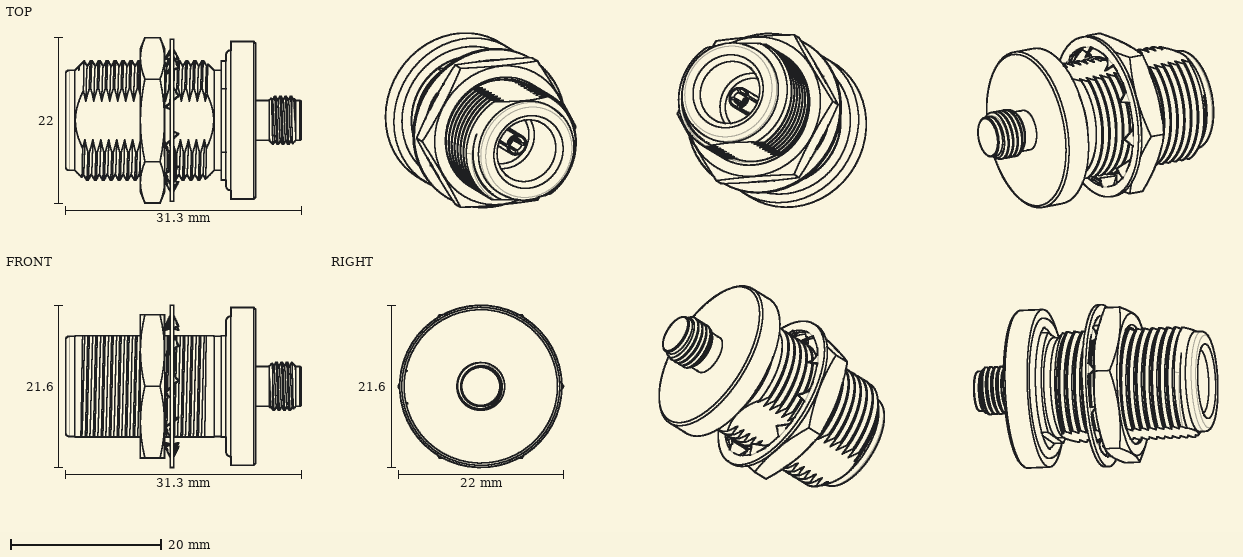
import cadquery as cq
import math


INCH = 25.4

TOTAL_LENGTH = 31.3
LARGE_THREAD_START = 1.25
LARGE_THREAD_END = 19.75
COLLAR_START = 20.67
FLANGE_FACE = 21.98
FLANGE_BACK = 25.31
SMALL_THREAD_START = 27.05
SMALL_THREAD_END = 30.6

NECK_RADIUS = 6.67
LARGE_THREAD_RADIUS = INCH * 5 / 8 / 2
COLLAR_RADIUS = LARGE_THREAD_RADIUS
FLANGE_RADIUS = 10.5
STEM_RADIUS = 2.67
SMALL_THREAD_RADIUS = INCH / 4 / 2
FRONT_FILLET = 0.5
FLANGE_CHAMFER = 0.3
STEM_CHAMFER = 0.14
FLAT_HALF_HEIGHT = 6.73

LARGE_PITCH = INCH / 24
LARGE_ROOT_RADIUS = 7.2
LARGE_GROOVE_START = 1.05
LARGE_GROOVE_TURNS = 17
SMALL_PITCH = INCH / 36
SMALL_ROOT_RADIUS = 2.7
SMALL_GROOVE_START = 26.62
SMALL_GROOVE_TURNS = 6
THREAD_HALF_ANGLE = math.radians(30)
GROOVE_OVERSHOOT = 0.08

BORE_RADIUS = 4.21
BORE_MOUTH_RADIUS = 4.96
BORE_FLOOR_RADIUS = 3.66
BORE_DEPTH = 9.0

CONTACT_TIP = 4.1
CONTACT_RADIUS = 1.39
CONTACT_HOLE_RADIUS = 0.8
CONTACT_MOUTH_RADIUS = 1.2
CONTACT_TIP_CHAMFER = 0.1
CONTACT_HOLE_DEPTH = 3.5
CONTACT_SLOT_WIDTH = 0.3

GASKET_SECTION_RADIUS = 0.66
GASKET_RING_RADIUS = 8.68

NUT_START = 9.93
NUT_THICKNESS = 3.25
NUT_ACROSS_FLATS = 19.05
NUT_FACE_RADIUS = 9.47
NUT_CHAMFER_LENGTH = 0.62
NUT_BORE_RADIUS = 7.3

WASHER_START = 13.89
WASHER_THICKNESS = 0.5
WASHER_RADIUS = 10.795
WASHER_INNER_RADIUS = 9.4
TOOTH_COUNT = 10
TOOTH_ROOT_WIDTH = 3.0
TOOTH_TIP_WIDTH = 2.4
TOOTH_TIP_THICKNESS = 0.1
TOOTH_TIP_PLANE = 8.13
TOOTH_TWIST = 48


def revolve_about_x(profile):
    """Revolve an XY-plane profile (X axial, Y radial) about the X axis."""
    return profile.close().revolve(360, (0, 0, 0), (1, 0, 0))


def cylinder_x(start, end, radius):
    return cq.Workplane("YZ", origin=(start, 0, 0)).circle(radius).extrude(end - start)


def double_cone(start, end, face_radius, middle_radius, taper_length):
    """Solid with equal cones at both ends, leading from face_radius to middle_radius."""
    return revolve_about_x(
        cq.Workplane("XY")
        .moveTo(start, 0)
        .lineTo(start, face_radius)
        .lineTo(start + taper_length, middle_radius)
        .lineTo(end - taper_length, middle_radius)
        .lineTo(end, face_radius)
        .lineTo(end, 0)
    )


def sweep_thread(half_profile, start, pitch, turns, left_handed):
    """Sweep a symmetric profile, given as (radius, half width) points, along a helix about X.

    The helix begins on the -Z side at X = start.
    """
    other_side = [(radius, -half_width) for radius, half_width in reversed(half_profile) if half_width > 0]
    inner_radius = half_profile[0][0]
    helix = cq.Wire.makeHelix(pitch, pitch * turns, inner_radius, lefthand=left_handed)
    profile = cq.Workplane("XZ").polyline(half_profile + other_side).close()
    thread = profile.sweep(cq.Workplane(helix), isFrenet=True)
    return thread.rotate((0, 0, 0), (0, 1, 0), 90).translate((start, 0, 0))


def thread_groove(start, pitch, turns, root_radius, crest_radius, left_handed):
    """V-groove that cuts an external thread."""
    outer_radius = crest_radius + GROOVE_OVERSHOOT
    half_width = (outer_radius - root_radius) * math.tan(THREAD_HALF_ANGLE)
    half_profile = [(root_radius, 0), (outer_radius, half_width)]
    return sweep_thread(half_profile, start, pitch, turns, left_handed)


def threaded_blank(start, end, base_radius, crest_radius, groove):
    """Threaded rod trimmed to 45-degree ends that fall from crest_radius to base_radius."""
    rise = crest_radius - base_radius
    rod = cylinder_x(start - rise, end + rise, crest_radius).cut(groove)
    envelope = double_cone(start, end, base_radius, crest_radius, rise)
    return rod.intersect(envelope)


def make_large_thread():
    groove = thread_groove(
        LARGE_GROOVE_START, LARGE_PITCH, LARGE_GROOVE_TURNS, LARGE_ROOT_RADIUS, LARGE_THREAD_RADIUS, True
    )
    return threaded_blank(
        LARGE_THREAD_START, LARGE_THREAD_END, NECK_RADIUS, LARGE_THREAD_RADIUS, groove
    )


def make_small_thread():
    groove = thread_groove(
        SMALL_GROOVE_START, SMALL_PITCH, SMALL_GROOVE_TURNS, SMALL_ROOT_RADIUS, SMALL_THREAD_RADIUS, False
    )
    return threaded_blank(
        SMALL_THREAD_START, SMALL_THREAD_END, STEM_RADIUS, SMALL_THREAD_RADIUS, groove
    )


def make_socket_bore():
    mouth_length = BORE_MOUTH_RADIUS - BORE_RADIUS
    floor_taper = BORE_RADIUS - BORE_FLOOR_RADIUS
    return revolve_about_x(
        cq.Workplane("XY")
        .moveTo(0, 0)
        .lineTo(0, BORE_MOUTH_RADIUS)
        .lineTo(mouth_length, BORE_RADIUS)
        .lineTo(BORE_DEPTH - floor_taper, BORE_RADIUS)
        .lineTo(BORE_DEPTH, BORE_FLOOR_RADIUS)
        .lineTo(BORE_DEPTH, 0)
    )


def make_gasket():
    """O-ring seated half-way into the front face of the flange."""
    return (
        cq.Workplane("XY", origin=(FLANGE_FACE, GASKET_RING_RADIUS, 0))
        .circle(GASKET_SECTION_RADIUS)
        .revolve(360, (0, -GASKET_RING_RADIUS, 0), (1, -GASKET_RING_RADIUS, 0))
    )


def make_shell(gasket):
    neck = cylinder_x(0, COLLAR_START, NECK_RADIUS).faces("<X").edges().fillet(FRONT_FILLET)
    collar = cylinder_x(COLLAR_START, FLANGE_FACE, COLLAR_RADIUS)
    front = neck.union(make_large_thread()).union(collar)
    flats = cq.Workplane("XY").box(
        FLANGE_FACE, 2 * FLANGE_RADIUS, 2 * FLAT_HALF_HEIGHT, centered=(False, True, True)
    )
    front = front.intersect(flats)

    flange = cylinder_x(FLANGE_FACE, FLANGE_BACK, FLANGE_RADIUS).faces(">X").chamfer(FLANGE_CHAMFER)
    flange = flange.cut(gasket)
    stem = cylinder_x(FLANGE_BACK, TOTAL_LENGTH, STEM_RADIUS).faces(">X").chamfer(STEM_CHAMFER)
    stem = stem.union(make_small_thread())
    return front.union(flange).union(stem).cut(make_socket_bore())


def make_contact():
    """Hollow pin standing on the bore floor, its tip split into four by crossed slots."""
    mouth_length = CONTACT_MOUTH_RADIUS - CONTACT_HOLE_RADIUS
    hole_end = CONTACT_TIP + CONTACT_HOLE_DEPTH
    contact = revolve_about_x(
        cq.Workplane("XY")
        .moveTo(CONTACT_TIP, CONTACT_MOUTH_RADIUS)
        .lineTo(CONTACT_TIP, CONTACT_RADIUS - CONTACT_TIP_CHAMFER)
        .lineTo(CONTACT_TIP + CONTACT_TIP_CHAMFER, CONTACT_RADIUS)
        .lineTo(BORE_DEPTH, CONTACT_RADIUS)
        .lineTo(BORE_DEPTH, 0)
        .lineTo(hole_end, 0)
        .lineTo(hole_end, CONTACT_HOLE_RADIUS)
        .lineTo(CONTACT_TIP + mouth_length, CONTACT_HOLE_RADIUS)
    )
    for angle in (0, 90):
        slot = cq.Workplane("XY", origin=(CONTACT_TIP, 0, 0)).box(
            CONTACT_HOLE_DEPTH, CONTACT_SLOT_WIDTH, 2 * CONTACT_RADIUS, centered=(False, True, True)
        )
        contact = contact.cut(slot.rotate((0, 0, 0), (1, 0, 0), angle))
    return contact


def make_nut_groove():
    """Internal groove of the nut: the shape of the shell's thread ridge."""
    overrun_turns = 1
    turns_before_nut = math.floor((NUT_START - LARGE_GROOVE_START) / LARGE_PITCH)
    start = LARGE_GROOVE_START + (turns_before_nut - overrun_turns - 1 / 2) * LARGE_PITCH
    turns = math.ceil(NUT_THICKNESS / LARGE_PITCH) + 3 * overrun_turns
    half_profile = [
        (radius, LARGE_PITCH / 2 - (radius - LARGE_ROOT_RADIUS) * math.tan(THREAD_HALF_ANGLE))
        for radius in ((LARGE_ROOT_RADIUS + NUT_BORE_RADIUS) / 2, LARGE_THREAD_RADIUS)
    ]
    return sweep_thread(half_profile, start, LARGE_PITCH, turns, True)


def make_nut():
    """Hex nut with corners on +Y and -Y, threaded to match the shell."""
    nut_end = NUT_START + NUT_THICKNESS
    corner_radius = NUT_ACROSS_FLATS / 2 / math.cos(math.radians(30))
    prism = cq.Workplane("YZ", origin=(NUT_START, 0, 0)).polygon(6, 2 * corner_radius).extrude(NUT_THICKNESS)
    chamfers = double_cone(NUT_START, nut_end, NUT_FACE_RADIUS, corner_radius, NUT_CHAMFER_LENGTH)
    lead_in_depth = LARGE_THREAD_RADIUS - LARGE_ROOT_RADIUS
    lead_ins = double_cone(NUT_START, nut_end, LARGE_THREAD_RADIUS, LARGE_ROOT_RADIUS, lead_in_depth)
    outline = prism.intersect(chamfers).cut(lead_ins)

    tube_start = NUT_START - LARGE_PITCH
    tube_end = nut_end + LARGE_PITCH
    tube = cylinder_x(tube_start, tube_end, corner_radius + LARGE_PITCH)
    tube = tube.cut(cylinder_x(tube_start, tube_end, NUT_BORE_RADIUS))
    return tube.cut(make_nut_groove()).intersect(outline)


def make_washer_tooth():
    """Tooth pointing inward from +Y, twisted about its own radial direction."""
    middle = WASHER_START + WASHER_THICKNESS / 2
    return (
        cq.Workplane("XZ", origin=(middle, WASHER_INNER_RADIUS, 0))
        .rect(WASHER_THICKNESS, TOOTH_ROOT_WIDTH)
        .workplane(offset=WASHER_INNER_RADIUS - TOOTH_TIP_PLANE)
        .transformed(rotate=(0, 0, TOOTH_TWIST))
        .rect(TOOTH_TIP_THICKNESS, TOOTH_TIP_WIDTH)
        .loft(ruled=True)
    )


def make_washer():
    washer = cylinder_x(WASHER_START, WASHER_START + WASHER_THICKNESS, WASHER_RADIUS)
    washer = washer.cut(cylinder_x(WASHER_START, WASHER_START + WASHER_THICKNESS, WASHER_INNER_RADIUS))
    tooth = make_washer_tooth()
    for index in range(TOOTH_COUNT):
        washer = washer.union(tooth.rotate((0, 0, 0), (1, 0, 0), index * 360 / TOOTH_COUNT))
    return washer


gasket = make_gasket()
shell = make_shell(gasket)
contact = make_contact()
nut = make_nut()
washer = make_washer()

result = cq.Compound.makeCompound(
    [shell.val(), contact.val(), gasket.val(), nut.val(), washer.val()]
)